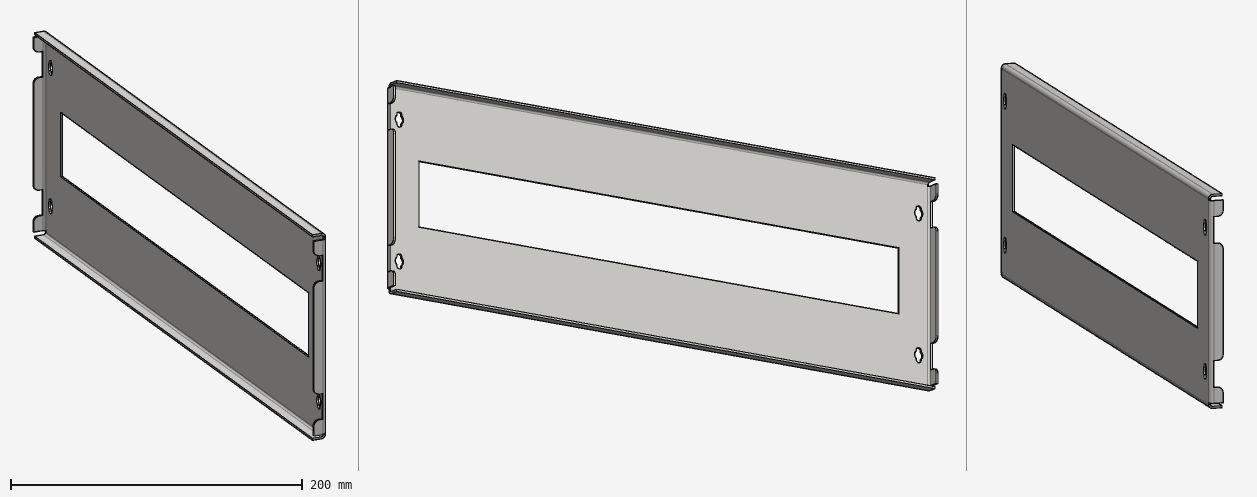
import cadquery as cq

length = 447.0
depth = 10.0
height = 150.0

thickness = 1.5
inner_bend = 1.5
outer_bend = inner_bend + thickness

long_flange_inset = 2.5
end_flange_inset = 4.0

notch_height = 18.8
tab_corner_radius = 4.0

window_length = 394.3
window_height = 47.0

hole_x = 213.0
hole_z = 50.5
hole_diameter = 6.5
slot_width = 4.0
slot_height = 10.7

back_y = depth / 2
front_y = -depth / 2


def folded_edge(plane, half_span, width):
    """Bend and flange for the edge at +half_span, swept over a centred width."""
    flat_edge = half_span - outer_bend
    bend_y = back_y - outer_bend
    diagonal = 0.5 ** 0.5
    return (
        cq.Workplane(plane)
        .moveTo(flat_edge, back_y)
        .threePointArc(
            (flat_edge + outer_bend * diagonal, bend_y + outer_bend * diagonal),
            (half_span, bend_y),
        )
        .lineTo(half_span, front_y)
        .lineTo(half_span - thickness, front_y)
        .lineTo(half_span - thickness, bend_y)
        .threePointArc(
            (flat_edge + inner_bend * diagonal, bend_y + inner_bend * diagonal),
            (flat_edge, back_y - thickness),
        )
        .close()
        .extrude(width / 2, both=True)
    )


def panel_face():
    """Flat sheet between the four bends."""
    return (
        cq.Workplane("XY")
        .box(length - 2 * outer_bend, thickness, height - 2 * outer_bend)
        .translate((0, back_y - thickness / 2, 0))
    )


def long_flange():
    """Plain flange along the top edge."""
    return folded_edge("ZY", height / 2, length - 2 * long_flange_inset)


def end_flange():
    """Flange along the +X edge, notched beside each fixing hole."""
    flange_height = height - 2 * end_flange_inset
    flange = folded_edge("XY", length / 2, flange_height)
    bend_y = back_y - outer_bend
    inner_tab_end = hole_z - notch_height / 2
    outer_tab_start = hole_z + notch_height / 2
    for side in (1, -1):
        arc_radius = -side * tab_corner_radius
        notch = (
            cq.Workplane("YZ", origin=(length / 2, 0, 0))
            .moveTo(bend_y, side * inner_tab_end)
            .lineTo(front_y + tab_corner_radius, side * inner_tab_end)
            .radiusArc((front_y, side * (inner_tab_end - tab_corner_radius)), arc_radius)
            .lineTo(front_y, side * (outer_tab_start + tab_corner_radius))
            .radiusArc((front_y + tab_corner_radius, side * outer_tab_start), arc_radius)
            .lineTo(bend_y, side * outer_tab_start)
            .close()
            .extrude(-outer_bend)
        )
        flange = flange.cut(notch)
    return flange


def window():
    """Cutter for the central rectangular opening."""
    return cq.Workplane("XY").box(window_length, depth, window_height)


def fixing_holes():
    """Cutters for the four fixing holes."""
    positions = [(x, z) for x in (-hole_x, hole_x) for z in (-hole_z, hole_z)]
    centres = cq.Workplane("XZ").pushPoints(positions)
    round_holes = centres.circle(hole_diameter / 2).extrude(depth, both=True)
    slots = centres.slot2D(slot_height, slot_width, 90).extrude(depth, both=True)
    return round_holes.union(slots)


top_flange = long_flange()
right_flange = end_flange()

result = (
    panel_face()
    .union(top_flange)
    .union(top_flange.mirror("XY"))
    .union(right_flange)
    .union(right_flange.mirror("YZ"))
    .cut(window())
    .cut(fixing_holes())
)